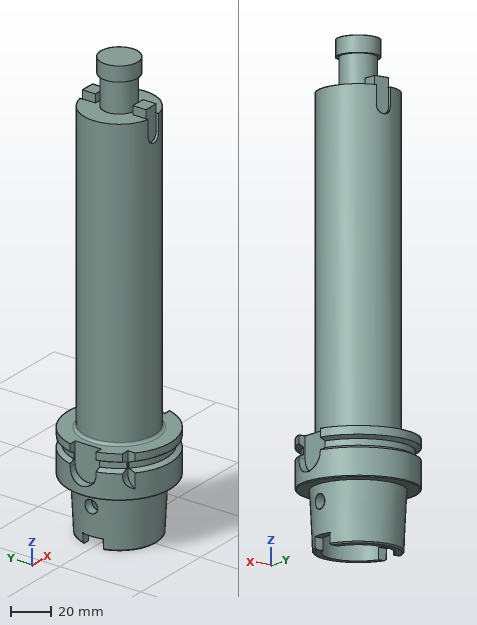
import cadquery as cq
import math

total_height = 262.0
taper_height = 32.0
flange_top = 58.0
body_top = 234.8
head_height = 9.0

taper_top_radius = 24.5
taper_ratio = 1 / 20
taper_bottom_radius = taper_top_radius - taper_height * taper_ratio
taper_chamfer = 0.8
bore_radius = 18.3
bore_depth = taper_height
cross_hole_radius = 4.0
cross_hole_z = 23.0
drive_notch_width = 12.5
drive_notch_height = 6.3

flange_radius = 31.5
flange_chamfer = 0.5
groove_radius = 28.5
groove_lower_z = 47.0
groove_upper_z = 53.5
groove_side_height = 1.5

slot_bottom_z = 37.2
slot_floor_x = 26.2
narrow_slot_width = 16.0
wide_slot_width = 18.0
corner_slot_floor_x = 20.0
corner_slot_wall_y = 20.0

body_radius = 21.5
body_fillet = 1.5
neck_radius = 9.7
head_radius = 11.3

key_width = 8.6
key_inner_y = 11.5
key_outer_y = 19.7
key_top = 239.8
key_bottom = 220.5


def cylinder(radius, bottom, top):
    return cq.Workplane("XY").workplane(offset=bottom).circle(radius).extrude(top - bottom)


def block(x_range, y_range, z_range):
    lengths = [high - low for low, high in (x_range, y_range, z_range)]
    corner = (x_range[0], y_range[0], z_range[0])
    return cq.Workplane("XY").box(*lengths, centered=False).translate(corner)


def round_bottom_outline(plane, center, width, bottom, top):
    """Upright outline with a flat top and a full-round bottom."""
    radius = width / 2
    arc_z = bottom + radius
    return (
        cq.Workplane(plane)
        .moveTo(center - radius, top)
        .lineTo(center - radius, arc_z)
        .threePointArc((center, bottom), (center + radius, arc_z))
        .lineTo(center + radius, top)
        .close()
    )


def make_shank():
    return (
        cq.Workplane("XZ")
        .moveTo(0, 0)
        .lineTo(taper_bottom_radius, 0)
        .lineTo(taper_top_radius, taper_height)
        .lineTo(0, taper_height)
        .close()
        .revolve(360, (0, 0), (0, 1))
        .faces("<Z")
        .chamfer(taper_chamfer)
    )


def make_flange():
    return (
        cq.Workplane("XZ")
        .moveTo(0, taper_height)
        .lineTo(flange_radius - flange_chamfer, taper_height)
        .lineTo(flange_radius, taper_height + flange_chamfer)
        .lineTo(flange_radius, groove_lower_z)
        .lineTo(groove_radius, groove_lower_z + groove_side_height)
        .lineTo(groove_radius, groove_upper_z - groove_side_height)
        .lineTo(flange_radius, groove_upper_z)
        .lineTo(flange_radius, flange_top)
        .lineTo(0, flange_top)
        .close()
        .revolve(360, (0, 0), (0, 1))
    )


def make_body():
    """Cylinder with a concave fillet where it meets the flange."""
    foot_radius = body_radius + body_fillet
    fillet_top = flange_top + body_fillet
    inset = body_fillet * (1 - math.sqrt(0.5))
    return (
        cq.Workplane("XZ")
        .moveTo(0, flange_top)
        .lineTo(foot_radius, flange_top)
        .threePointArc((body_radius + inset, flange_top + inset), (body_radius, fillet_top))
        .lineTo(body_radius, body_top)
        .lineTo(0, body_top)
        .close()
        .revolve(360, (0, 0), (0, 1))
    )


def flange_slot(floor_x, center_y, width):
    """Cutter for a slot on the -X side, open upward and outward."""
    outline = round_bottom_outline("YZ", center_y, width, slot_bottom_z, flange_top)
    return outline.extrude(flange_radius - floor_x).translate((-flange_radius, 0, 0))


result = make_shank().union(make_flange()).union(make_body())
result = result.union(cylinder(neck_radius, body_top, total_height))
result = result.union(cylinder(head_radius, total_height - head_height, total_height))

result = result.cut(cylinder(bore_radius, 0, bore_depth))
cross_hole = cq.Workplane("YZ").center(0, cross_hole_z).circle(cross_hole_radius)
result = result.cut(cross_hole.extrude(flange_radius, both=True))
half_notch = drive_notch_width / 2
result = result.cut(
    block((-flange_radius, flange_radius), (-half_notch, half_notch), (0, drive_notch_height))
)

right_slot = flange_slot(slot_floor_x, 0, wide_slot_width).mirror("YZ")
corner_slot_y = -corner_slot_wall_y - narrow_slot_width / 2
result = result.cut(flange_slot(slot_floor_x, 0, narrow_slot_width))
result = result.cut(right_slot)
result = result.cut(flange_slot(corner_slot_floor_x, corner_slot_y, narrow_slot_width))

half_key = key_width / 2
for side in (-1, 1):
    recess = round_bottom_outline("XZ", 0, key_width, key_bottom, body_top)
    recess = recess.extrude(-side * (body_radius - key_outer_y))
    result = result.cut(recess.translate((0, side * key_outer_y, 0)))
    y_range = sorted((side * key_inner_y, side * key_outer_y))
    result = result.union(block((-half_key, half_key), y_range, (body_top, key_top)))